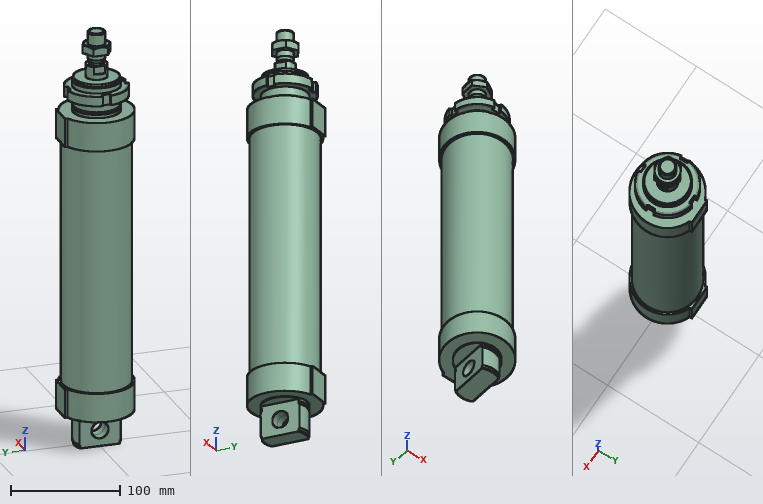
import cadquery as cq
import math

TOTAL_HEIGHT = 404.0
TANG_BOTTOM = 0.0
REAR_CAP_BOTTOM = 33.0
CAP_HEIGHT = 28.0
FRONT_CAP_TOP = 327.0
COLLAR_TOP = 359.7

TUBE_DIAMETER = 65.5
CAP_DIAMETER = 70.0
PAD_WIDTH = 25.5
NECK_DIAMETER = 45.0
RELIEF_DIAMETER = 43.0
NECK_BASE_HEIGHT = 3.2
RELIEF_HEIGHT = 1.5
COLLAR_LEAD_HEIGHT = 2.5
NECK_CHAMFER = (NECK_DIAMETER - RELIEF_DIAMETER) / 2

TANG_THICKNESS = 20.2
SHOULDER_HEIGHT = 1.0
TANG_CHAMFER_HEIGHT = 2.5
TANG_LEAD_HEIGHT = 1.2
PIVOT_HOLE_DIAMETER = 16.0
PIVOT_HOLE_HEIGHT = 15.8

ROD_DIAMETER = 20.0
ROD_SHOULDER = 372.3
FLATS_ACROSS = 16.5
FLATS_BOTTOM = 365.0
THREAD_DIAMETER = 16.0
UNDERCUT_DIAMETER = 13.7
UNDERCUT_HEIGHT = 2.5
THREAD_CHAMFER_HEIGHT = 3.2
TIP_DIAMETER = 14.0
TIP_CHAMFER_HEIGHT = 1.2

ROD_NUT_ACROSS_FLATS = 24.0
ROD_NUT_BOTTOM = 384.0
ROD_NUT_HEIGHT = 8.0
ROD_NUT_CHAMFER_HEIGHT = 1.2

RING_NUT_DIAMETER = 60.0
RING_NUT_BOTTOM = 341.0
RING_NUT_HEIGHT = 10.0
RING_SLOT_WIDTH = 8.0
RING_SLOT_DEPTH = 3.2
RING_FACE_DIAMETER = 56.0
RING_CHAMFER_HEIGHT = 0.5
RING_SLOT_COUNT = 4


def cylinder(diameter, bottom, top):
    return cq.Workplane("XY").workplane(offset=bottom).circle(diameter / 2).extrude(top - bottom)


def turned(profile):
    """Revolve a (radius, height) outline about the Z axis."""
    return cq.Workplane("XZ").polyline(profile).close().revolve(360, (0, 0, 0), (0, 1, 0))


def end_cap(bottom):
    """Round cap with a flat-topped pad on its +Y side."""
    cap = cylinder(CAP_DIAMETER, bottom, bottom + CAP_HEIGHT)
    pad = cq.Workplane("XY").box(
        PAD_WIDTH, CAP_DIAMETER / 2, CAP_HEIGHT, centered=(True, False, False)
    )
    return cap.union(pad.translate((0, 0, bottom)))


def threaded_collar():
    """Threaded neck on the front cap, with a relief groove at its root and a reduced tip."""
    full = NECK_DIAMETER / 2
    reduced = RELIEF_DIAMETER / 2
    relief_bottom = FRONT_CAP_TOP + NECK_BASE_HEIGHT
    relief_top = relief_bottom + RELIEF_HEIGHT
    lead_bottom = COLLAR_TOP - COLLAR_LEAD_HEIGHT
    return turned([
        (0, FRONT_CAP_TOP),
        (full, FRONT_CAP_TOP),
        (full, relief_bottom),
        (reduced, relief_bottom),
        (reduced, relief_top),
        (full, relief_top + NECK_CHAMFER),
        (full, lead_bottom - NECK_CHAMFER),
        (reduced, lead_bottom),
        (reduced, COLLAR_TOP),
        (0, COLLAR_TOP),
    ])


def clevis_tang():
    """Flat-sided rear tang with a relief groove at its root and a cross hole for the pivot pin."""
    full = NECK_DIAMETER / 2
    reduced = RELIEF_DIAMETER / 2
    flats_top = REAR_CAP_BOTTOM - SHOULDER_HEIGHT
    relief_top = REAR_CAP_BOTTOM - NECK_BASE_HEIGHT
    relief_bottom = relief_top - RELIEF_HEIGHT
    lead_top = TANG_BOTTOM + TANG_LEAD_HEIGHT
    blank = turned([
        (0, REAR_CAP_BOTTOM),
        (full, REAR_CAP_BOTTOM),
        (full, relief_top),
        (reduced, relief_top),
        (reduced, relief_bottom),
        (full, relief_bottom - NECK_CHAMFER),
        (full, lead_top + TANG_CHAMFER_HEIGHT),
        (reduced, lead_top),
        (reduced, TANG_BOTTOM),
        (0, TANG_BOTTOM),
    ])
    slab = cq.Workplane("XY").box(
        TANG_THICKNESS, NECK_DIAMETER, flats_top, centered=(True, True, False)
    )
    pivot_hole = (
        cq.Workplane("YZ")
        .center(0, PIVOT_HOLE_HEIGHT)
        .circle(PIVOT_HOLE_DIAMETER / 2)
        .extrude(TANG_THICKNESS, both=True)
    )
    shoulder = cylinder(NECK_DIAMETER, flats_top, REAR_CAP_BOTTOM)
    return blank.intersect(slab).cut(pivot_hole).union(shoulder)


def make_housing():
    """Tube, both end caps, threaded collar and rear tang as one solid."""
    tube = cylinder(TUBE_DIAMETER, REAR_CAP_BOTTOM, FRONT_CAP_TOP)
    return (
        tube.union(end_cap(REAR_CAP_BOTTOM))
        .union(end_cap(FRONT_CAP_TOP - CAP_HEIGHT))
        .union(threaded_collar())
        .union(clevis_tang())
    )


def make_rod():
    """Piston rod with wrench flats, an undercut and a threaded tip."""
    thread = THREAD_DIAMETER / 2
    undercut = UNDERCUT_DIAMETER / 2
    undercut_top = ROD_SHOULDER + UNDERCUT_HEIGHT
    rod = turned([
        (0, COLLAR_TOP),
        (ROD_DIAMETER / 2, COLLAR_TOP),
        (ROD_DIAMETER / 2, ROD_SHOULDER),
        (undercut, ROD_SHOULDER),
        (undercut, undercut_top),
        (thread, undercut_top + THREAD_CHAMFER_HEIGHT),
        (thread, TOTAL_HEIGHT - TIP_CHAMFER_HEIGHT),
        (TIP_DIAMETER / 2, TOTAL_HEIGHT),
        (0, TOTAL_HEIGHT),
    ])
    between_flats = cq.Workplane("XY").box(
        FLATS_ACROSS, ROD_DIAMETER, TOTAL_HEIGHT - FLATS_BOTTOM, centered=(True, True, False)
    ).translate((0, 0, FLATS_BOTTOM))
    below_flats = cylinder(ROD_DIAMETER, COLLAR_TOP, FLATS_BOTTOM)
    return rod.intersect(between_flats.union(below_flats))


def make_rod_nut():
    """Hexagon nut on the rod thread, with flats facing +X and -X and its top corners chamfered."""
    across_corners = ROD_NUT_ACROSS_FLATS / math.cos(math.radians(30))
    corner_chamfer = (across_corners - ROD_NUT_ACROSS_FLATS) / 2
    hexagon = (
        cq.Workplane("XY")
        .polygon(6, across_corners)
        .extrude(ROD_NUT_HEIGHT)
        .rotate((0, 0, 0), (0, 0, 1), 90)
    )
    envelope = (
        cq.Workplane("XY")
        .circle(across_corners / 2)
        .extrude(ROD_NUT_HEIGHT)
        .faces(">Z")
        .chamfer(ROD_NUT_CHAMFER_HEIGHT, corner_chamfer)
    )
    nut = hexagon.intersect(envelope).translate((0, 0, ROD_NUT_BOTTOM))
    return nut.cut(cylinder(THREAD_DIAMETER, ROD_NUT_BOTTOM, ROD_NUT_BOTTOM + ROD_NUT_HEIGHT))


def make_ring_nut():
    """Round mounting nut with spanner slots around its rim."""
    top = RING_NUT_BOTTOM + RING_NUT_HEIGHT
    nut = turned([
        (0, RING_NUT_BOTTOM),
        (RING_FACE_DIAMETER / 2, RING_NUT_BOTTOM),
        (RING_NUT_DIAMETER / 2, RING_NUT_BOTTOM + RING_CHAMFER_HEIGHT),
        (RING_NUT_DIAMETER / 2, top - RING_CHAMFER_HEIGHT),
        (RING_FACE_DIAMETER / 2, top),
        (0, top),
    ])
    nut = nut.cut(cylinder(NECK_DIAMETER, RING_NUT_BOTTOM, top))
    slot = cq.Workplane("XY").box(
        2 * RING_SLOT_DEPTH, RING_SLOT_WIDTH, RING_NUT_HEIGHT, centered=(True, True, False)
    ).translate((RING_NUT_DIAMETER / 2, 0, RING_NUT_BOTTOM))
    for index in range(RING_SLOT_COUNT):
        angle = index * 360 / RING_SLOT_COUNT
        nut = nut.cut(slot.rotate((0, 0, 0), (0, 0, 1), angle))
    return nut


housing = make_housing()
rod = make_rod()
rod_nut = make_rod_nut()
ring_nut = make_ring_nut()

result = cq.Compound.makeCompound([housing.val(), rod.val(), rod_nut.val(), ring_nut.val()])